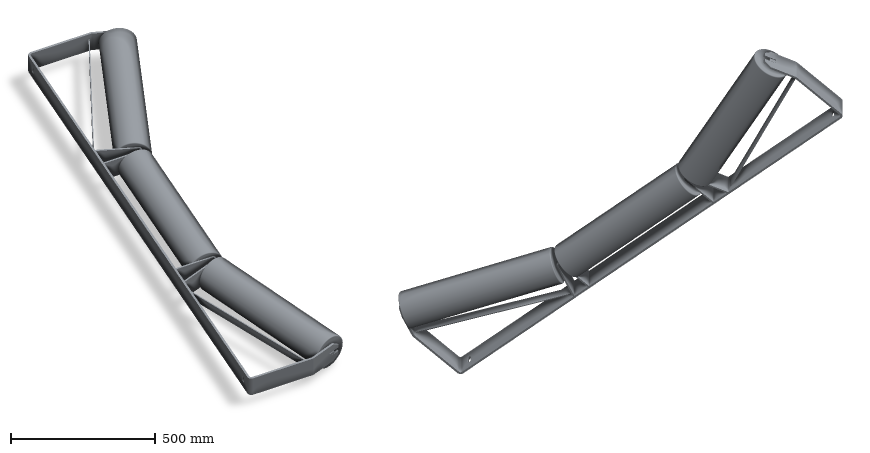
import cadquery as cq
import math

FRAME_LENGTH = 1800.0
SHEET_WIDTH = 80.0
FRAME_THICKNESS = 8.0
BEND_RADIUS = 7.0
TROUGH_ANGLE = 20.0
BEND_HEIGHT = 247.0
ARM_LENGTH = 125.0
TIP_CUT_LENGTH = 25.0
TIP_CUT_WIDTH = 18.0

BOLT_SLOT_WIDTH = 15.0
BOLT_SLOT_HEIGHT = 27.0
BOLT_SLOT_INSET = 49.0

ROLLER_DIAMETER = 133.0
ROLLER_LENGTH = 570.0
ROLLER_EDGE_RADIUS = 4.0
LUG_DEPTH = 23.0
LUG_HEIGHT = 13.0
SHAFT_SLOT_HEIGHT = 17.1
END_GAP = 4.0
OUTER_END_GAP = 4.0

ARM_AXIS_HEIGHT = 92.0
OUTER_END_DROP = 2.0
INNER_END_DROP = 9.0
CENTER_AXIS_HEIGHT = 126.0

BRACKET_THICKNESS = 6.0
BRACKET_HEIGHT = 157.0
BRACKET_BEND_RADIUS = 4.0

BRACE_THICKNESS = 4.0
BRACE_WIDTH = 32.0
BRACE_TOP = 238.0
BRACE_FOOT = 370.0

SIN = math.sin(math.radians(TROUGH_ANGLE))
COS = math.cos(math.radians(TROUGH_ANGLE))
FRAME_HALF = FRAME_LENGTH / 2
BEND_POINT = (-FRAME_HALF, BEND_HEIGHT)


def arm_point(along, across):
    """Point measured from the frame bend: along the arm, and inwards along the wing axis."""
    return (
        BEND_POINT[0] + along * SIN + across * COS,
        BEND_POINT[1] + along * COS - across * SIN,
    )


OUTER_FACE = FRAME_THICKNESS + OUTER_END_GAP
ROLLER_TILT = math.degrees(math.asin((INNER_END_DROP - OUTER_END_DROP) / ROLLER_LENGTH))
WING_RUN = math.sqrt(ROLLER_LENGTH**2 - (INNER_END_DROP - OUTER_END_DROP) ** 2)
WING_CENTER = arm_point(ARM_AXIS_HEIGHT, OUTER_FACE + WING_RUN / 2)
LEG_OFFSET = OUTER_FACE + WING_RUN + END_GAP
BRACKET_X = -(ROLLER_LENGTH / 2 + END_GAP)


def mirrored(body):
    return body.mirror("YZ")


def bent_strip(path, thickness, inside_radius):
    """Sheet strip along a path; the thickness lies to the left of the path's direction."""
    directions = []
    for start, end in zip(path, path[1:]):
        length = math.dist(start, end)
        directions.append(((end[0] - start[0]) / length, (end[1] - start[1]) / length))
    before = directions[:1] + directions
    after = directions + directions[-1:]
    offset_path = []
    for point, d1, d2 in zip(path, before, after):
        normal_x = -d1[1] - d2[1]
        normal_y = d1[0] + d2[0]
        mitre = thickness / (1 + d1[0] * d2[0] + d1[1] * d2[1])
        offset_path.append((point[0] + normal_x * mitre, point[1] + normal_y * mitre))
    strip = (
        cq.Workplane("XY")
        .polyline(path + offset_path[::-1])
        .close()
        .extrude(SHEET_WIDTH / 2, both=True)
    )
    for i in range(1, len(path) - 1):
        turn_left = before[i][0] * after[i][1] - before[i][1] * after[i][0] > 0
        inside, outside = (offset_path[i], path[i]) if turn_left else (path[i], offset_path[i])
        for corner, radius in ((inside, inside_radius), (outside, inside_radius + thickness)):
            nearest = cq.selectors.NearestToPointSelector((*corner, 0))
            strip = strip.edges("|Z").edges(nearest).fillet(radius)
    return strip


def leaning_plane(along, across):
    """Plane on a leaning sheet: local x up the sheet, local y along Z, normal along the wing axis."""
    return cq.Plane(
        origin=(*arm_point(along, across), 0), xDir=(SIN, COS, 0), normal=(COS, -SIN, 0)
    )


def make_frame():
    left = [(-FRAME_HALF, 0), BEND_POINT, arm_point(ARM_LENGTH, 0)]
    right = [(-x, y) for x, y in left]
    frame = bent_strip(left[::-1] + right, FRAME_THICKNESS, BEND_RADIUS)

    slot_floor = ARM_AXIS_HEIGHT - LUG_DEPTH / 2
    half_slot = SHAFT_SLOT_HEIGHT / 2
    half_width = SHEET_WIDTH / 2
    shaft_slot = (
        cq.Workplane(leaning_plane(0, 0))
        .moveTo(slot_floor, -half_slot)
        .lineTo(ARM_LENGTH, -half_slot)
        .lineTo(ARM_LENGTH, half_slot)
        .lineTo(slot_floor, half_slot)
        .close()
        .extrude(FRAME_THICKNESS)
    )
    tip_cuts = cq.Workplane(leaning_plane(0, 0))
    for side in (-1, 1):
        tip_cuts = (
            tip_cuts.moveTo(ARM_LENGTH, side * half_width)
            .lineTo(ARM_LENGTH - TIP_CUT_LENGTH, side * half_width)
            .lineTo(ARM_LENGTH, side * (half_width - TIP_CUT_WIDTH))
            .close()
        )
    arm_cuts = shaft_slot.union(tip_cuts.extrude(FRAME_THICKNESS))

    bolt_x = FRAME_HALF - BOLT_SLOT_INSET
    bolt_slots = (
        cq.Workplane("XZ")
        .pushPoints([(-bolt_x, 0), (bolt_x, 0)])
        .slot2D(BOLT_SLOT_HEIGHT, BOLT_SLOT_WIDTH, 90)
        .extrude(-FRAME_THICKNESS)
    )
    return frame.cut(arm_cuts).cut(mirrored(arm_cuts)).cut(bolt_slots)


def make_roller(left_lug, right_lug):
    """Roller along X, centred on the origin, with a flattened shaft end on each side."""
    body = (
        cq.Workplane("YZ", origin=(-ROLLER_LENGTH / 2, 0, 0))
        .circle(ROLLER_DIAMETER / 2)
        .extrude(ROLLER_LENGTH)
        .faces("<X or >X")
        .edges()
        .fillet(ROLLER_EDGE_RADIUS)
    )
    shaft_length = ROLLER_LENGTH + left_lug + right_lug
    shaft = cq.Workplane("XY").box(shaft_length, LUG_DEPTH, LUG_HEIGHT)
    return body.union(shaft.translate(((right_lug - left_lug) / 2, 0, 0)))


def make_center_roller():
    lug = END_GAP + BRACKET_THICKNESS
    return make_roller(lug, lug).translate((0, CENTER_AXIS_HEIGHT, -INNER_END_DROP))


def make_wing_roller():
    mean_drop = (OUTER_END_DROP + INNER_END_DROP) / 2
    return (
        make_roller(OUTER_FACE, END_GAP + BRACKET_THICKNESS)
        .rotate((0, 0, 0), (0, 1, 0), ROLLER_TILT)
        .rotate((0, 0, 0), (0, 0, 1), -TROUGH_ANGLE)
        .translate((*WING_CENTER, -mean_drop))
    )


def leg_point(y):
    """Point at height y on the bracket face towards the wing roller."""
    origin = arm_point(0, LEG_OFFSET)
    return (origin[0] + (y - origin[1]) * SIN / COS, y)


def make_bracket():
    path = [
        (BRACKET_X, FRAME_THICKNESS),
        (BRACKET_X, BRACKET_HEIGHT),
        leg_point(BRACKET_HEIGHT),
        leg_point(FRAME_THICKNESS),
    ]
    bracket = bent_strip(path, BRACKET_THICKNESS, BRACKET_BEND_RADIUS)
    center_slot = cq.Workplane("XY").box(
        BRACKET_THICKNESS, BRACKET_HEIGHT, SHAFT_SLOT_HEIGHT, centered=(False, False, True)
    )
    center_floor = CENTER_AXIS_HEIGHT - LUG_DEPTH / 2
    center_slot = center_slot.translate(
        (BRACKET_X - BRACKET_THICKNESS, center_floor, -INNER_END_DROP)
    )
    wing_slot = (
        cq.Workplane(leaning_plane(ARM_AXIS_HEIGHT - LUG_DEPTH / 2, LEG_OFFSET))
        .center(0, -INNER_END_DROP)
        .box(BRACKET_HEIGHT, SHAFT_SLOT_HEIGHT, BRACKET_THICKNESS, centered=(False, True, False))
    )
    foot = cq.Workplane("XY").box(FRAME_LENGTH, 2 * FRAME_THICKNESS, SHEET_WIDTH)
    return bracket.cut(center_slot).cut(wing_slot).cut(foot)


def make_brace():
    wall_x = -FRAME_HALF + FRAME_THICKNESS
    slope = (BRACE_TOP - FRAME_THICKNESS) / (-BRACE_FOOT - wall_x)
    tilt = math.atan(slope)
    return (
        cq.Workplane("XY")
        .polyline(
            [
                (wall_x, BRACE_TOP),
                (-BRACE_FOOT, FRAME_THICKNESS),
                (-BRACE_FOOT - BRACE_THICKNESS / math.sin(tilt), FRAME_THICKNESS),
                (wall_x, BRACE_TOP - BRACE_THICKNESS / math.cos(tilt)),
            ]
        )
        .close()
        .extrude(BRACE_WIDTH / 2, both=True)
    )


frame = make_frame()
center_roller = make_center_roller()
paired_bodies = []
for make_body in (make_wing_roller, make_bracket, make_brace):
    left_body = make_body()
    paired_bodies += [left_body.val(), mirrored(left_body).val()]

result = cq.Compound.makeCompound([frame.val(), center_roller.val(), *paired_bodies])